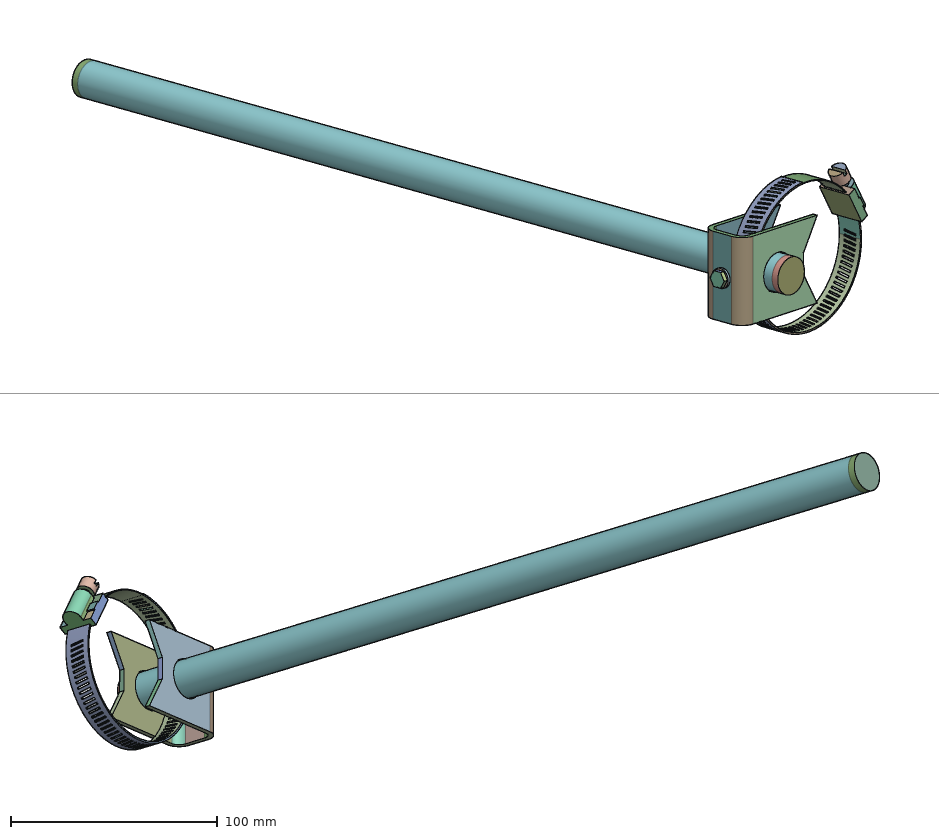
import cadquery as cq
import math

rod_length = 465.0
rod_diameter = 19.0
cap_length = 3.5
rod_radius = rod_diameter / 2

bracket_start_x = 429.0
bracket_width = 27.0
bracket_height = 44.5
bracket_thickness = 3.0
bracket_corner_radius = 7.5
rod_hole_diameter = 20.0
bracket_length = 53.0
notch_slope = 30.0
notch_flat_height = 11.0
bracket_center_x = bracket_start_x + bracket_width / 2

screw_diameter = 5.0
thread_root_diameter = 4.5
thread_pitch = 1.5
thread_groove_width = 0.7
screw_flange_diameter = 10.0
screw_flange_thickness = 1.5
screw_hex_corners = 9.5
screw_hex_height = 2.5

band_outer_radius = 38.5
band_thickness = 1.0
band_width = 14.0
tail_thickness = 0.5
band_inner_radius = band_outer_radius - band_thickness
band_center_y = band_inner_radius - rod_radius
bracket_tip_y = band_center_y
web_outer_y = bracket_tip_y - bracket_length

housing_angle = 30.0
tail_end_angle = 95.0
slot_pitch_angle = 4.0
slot_start_angle = 99.0
slot_count = 67
slot_width = 1.0
slot_length = 7.5
slot_tilt = 8.0

saddle_width = 19.5
saddle_start = -9.5
saddle_end = 9.0
saddle_bottom = 36.0
saddle_top = 40.5
tab_start = -3.3
tab_end = 2.5
tab_height = 0.7
casing_diameter = 10.0
casing_axis_height = 42.8
casing_end = 7.0
neck_diameter = 5.0
worm_head_diameter = 9.5
worm_head_start = 9.8
worm_head_end = 16.7
driver_slot_width = 2.0
driver_slot_depth = 2.5


def x_cylinder(diameter, start_x, length):
    return cq.Workplane("YZ").workplane(offset=start_x).circle(diameter / 2).extrude(length)


def y_plane(y):
    """Plane at the given Y on the screw axis, facing -Y."""
    return cq.Workplane(cq.Plane((bracket_center_x, y, 0), (1, 0, 0), (0, -1, 0)))


def make_rod():
    """Shaft and two end caps of the same diameter, joined with their seams kept."""
    shaft = x_cylinder(rod_diameter, cap_length, rod_length - 2 * cap_length)
    for cap_start_x in (0, rod_length - cap_length):
        shaft = shaft.union(x_cylinder(rod_diameter, cap_start_x, cap_length), clean=False)
    return shaft


def make_bracket():
    center_y = bracket_tip_y - bracket_length / 2
    outer = (
        cq.Workplane("XY")
        .box(bracket_width, bracket_length, bracket_height)
        .translate((bracket_center_x, center_y, 0))
        .edges("|Z and <Y")
        .fillet(bracket_corner_radius)
    )
    inner = (
        cq.Workplane("XY")
        .box(bracket_width - 2 * bracket_thickness, bracket_length, bracket_height)
        .translate((bracket_center_x, center_y + bracket_thickness, 0))
        .edges("|Z and <Y")
        .fillet(bracket_corner_radius - bracket_thickness)
    )
    notch_depth = (bracket_height - notch_flat_height) / 2 * math.tan(math.radians(notch_slope))
    notch_bottom_y = bracket_tip_y - notch_depth
    notch = (
        cq.Workplane("YZ")
        .polyline([
            (bracket_tip_y, bracket_height / 2),
            (notch_bottom_y, notch_flat_height / 2),
            (notch_bottom_y, -notch_flat_height / 2),
            (bracket_tip_y, -bracket_height / 2),
        ])
        .close()
        .extrude(rod_length)
    )
    rod_hole = x_cylinder(rod_hole_diameter, 0, rod_length)
    return outer.cut(inner).cut(notch).cut(rod_hole)


def make_screw():
    shank_tip_y = -rod_radius
    shank = y_plane(shank_tip_y).circle(screw_diameter / 2).extrude(shank_tip_y - web_outer_y)
    thread_length = shank_tip_y - web_outer_y - bracket_thickness
    for index in range(int(thread_length / thread_pitch)):
        groove = (
            y_plane(shank_tip_y - (index + 0.5) * thread_pitch)
            .circle(screw_diameter)
            .circle(thread_root_diameter / 2)
            .extrude(thread_groove_width)
        )
        shank = shank.cut(groove)
    flange = y_plane(web_outer_y).circle(screw_flange_diameter / 2).extrude(screw_flange_thickness)
    hex_head = (
        y_plane(web_outer_y - screw_flange_thickness)
        .polygon(6, screw_hex_corners)
        .extrude(screw_hex_height)
    )
    return shank.union(flange).union(hex_head)


def band_ring(outer_radius, inner_radius):
    """Ring about the band axis, as wide as the band; an inner radius of 0 gives a full disc."""
    sketch = (
        cq.Workplane("YZ")
        .workplane(offset=bracket_center_x - band_width / 2)
        .center(band_center_y, 0)
        .circle(outer_radius)
    )
    if inner_radius > 0:
        sketch = sketch.circle(inner_radius)
    return sketch.extrude(band_width)


def around_band(body, angle):
    """Place a body built with X across the band, Y along the tangent and Z along the radius."""
    turned = body.rotate((0, 0, 0), (1, 0, 0), angle - 90)
    return turned.translate((bracket_center_x, band_center_y, 0))


def make_band():
    band = band_ring(band_outer_radius, band_inner_radius)
    sector_reach = 2 * band_outer_radius
    sector_points = [
        (sector_reach * math.cos(math.radians(angle)), sector_reach * math.sin(math.radians(angle)))
        for angle in (housing_angle, tail_end_angle)
    ]
    tail_relief = (
        cq.Workplane("YZ")
        .workplane(offset=bracket_center_x - band_width / 2)
        .center(band_center_y, 0)
        .polyline([(0, 0)] + sector_points)
        .close()
        .extrude(band_width)
        .cut(band_ring(band_inner_radius + tail_thickness, 0))
    )
    band = band.cut(tail_relief)
    slot = cq.Workplane("XY").box(slot_length, slot_width, 4 * band_thickness)
    slot = slot.rotate((0, 0, 0), (0, 0, 1), slot_tilt).translate((0, 0, band_outer_radius))
    slots = [
        around_band(slot, slot_start_angle + index * slot_pitch_angle).val()
        for index in range(slot_count)
    ]
    return band.cut(cq.Compound.makeCompound(slots))


def tangent_cylinder(diameter, start, end):
    """Cylinder along the tangent, on the worm axis."""
    plane = cq.Plane((0, -start, casing_axis_height), (1, 0, 0), (0, -1, 0))
    return cq.Workplane(plane).circle(diameter / 2).extrude(end - start)


def tangent_block(width, start, end, bottom, top):
    return (
        cq.Workplane("XY")
        .box(width, end - start, top - bottom)
        .translate((0, -(start + end) / 2, (bottom + top) / 2))
    )


def make_worm_housing():
    saddle = tangent_block(saddle_width, saddle_start, saddle_end, saddle_bottom, saddle_top)
    tab = tangent_block(saddle_width, tab_start, tab_end, saddle_top, saddle_top + tab_height)
    casing_base = tangent_block(
        casing_diameter, saddle_start, casing_end, saddle_bottom, casing_axis_height
    )
    casing = tangent_cylinder(casing_diameter, saddle_start, casing_end)
    neck = tangent_cylinder(neck_diameter, casing_end, worm_head_start)
    head = tangent_cylinder(worm_head_diameter, worm_head_start, worm_head_end)
    driver_slot = tangent_block(
        worm_head_diameter,
        worm_head_end - driver_slot_depth,
        worm_head_end,
        casing_axis_height - driver_slot_width / 2,
        casing_axis_height + driver_slot_width / 2,
    )
    housing = saddle.union(tab).union(casing_base).union(casing).union(neck).union(head.cut(driver_slot))
    return around_band(housing, housing_angle)


def make_bracket_clamp():
    """Bracket and hose clamp, joined by the screw whose tip runs through the band to the rod."""
    return make_bracket().union(make_screw()).union(make_band()).union(make_worm_housing())


rod = make_rod()
bracket_clamp = make_bracket_clamp()

result = cq.Compound.makeCompound([rod.solids().val(), bracket_clamp.solids().val()])